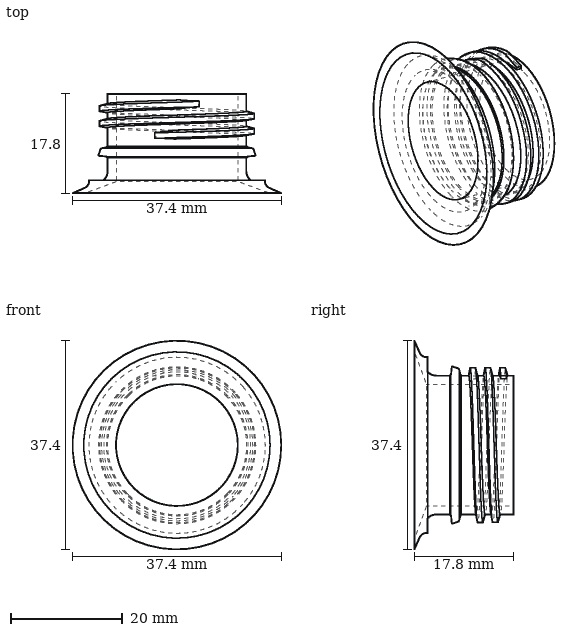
import cadquery as cq
import math


length = 17.75
neck_radius = 12.45
bore_radius = 10.87
mouth_radius = 16.65
mouth_depth = 2.13

lip_radius = 18.68
flange_back = 2.35
flange_radius = 15.75
flange_rim_land = 0.1
flare_start_y = 0.97
flare_start_radius = 16.5
root_fillet_start_y = 3.9
root_fillet_end_radius = 13.15

ring_lower_foot = (neck_radius, 6.3)
ring_lower_face_start = (12.65, 6.55)
ring_lower_face_end = (13.9, 6.65)
ring_crest_start = (14.05, 6.87)
ring_crest_end = (13.75, 7.77)
ring_upper_face_start = (13.52, 8.05)
ring_upper_face_end = (12.65, 8.22)
ring_upper_foot = (neck_radius, 8.4)

pitch = 2.7
turns = 2
thread_start_y = 15.88
crest_radius = 13.85
crest_width = 0.95
crest_shift = 0.07
foot_width = 1.68
embed = 0.2
runout_angle = 17.8
runout_tip_radius = 13.0
runout_tip_width = 1.0
runout_blend_angle = 2.0
start_angle = 90.0


def make_body():
    """Revolve the flange and neck wall, hollow from end to end."""
    rim_y = flange_back - flange_rim_land
    return (
        cq.Workplane("XY")
        .moveTo(mouth_radius, 0)
        .lineTo(lip_radius, 0)
        .lineTo(flare_start_radius, flare_start_y)
        .tangentArcPoint((flange_radius, rim_y), relative=False)
        .lineTo(flange_radius, flange_back)
        .lineTo(root_fillet_end_radius, flange_back)
        .threePointArc(root_fillet_middle(), (neck_radius, root_fillet_start_y))
        .lineTo(neck_radius, length)
        .lineTo(bore_radius, length)
        .lineTo(bore_radius, mouth_depth)
        .close()
        .revolve(360, (0, 0, 0), (0, 1, 0))
    )


def root_fillet_middle():
    """Middle point of the root arc, which runs tangent into the neck."""
    rise = root_fillet_start_y - flange_back
    spread = root_fillet_end_radius - neck_radius
    arc_radius = (rise**2 + spread**2) / (2 * spread)
    half_sweep = math.asin(rise / arc_radius) / 2
    return (
        neck_radius + arc_radius * (1 - math.cos(half_sweep)),
        root_fillet_start_y - arc_radius * math.sin(half_sweep),
    )


def make_ring():
    """Revolve the sealing ring with its sloping crest and rounded edges."""
    root_radius = neck_radius - embed
    return (
        cq.Workplane("XY")
        .moveTo(root_radius, ring_lower_foot[1])
        .lineTo(*ring_lower_foot)
        .lineTo(*ring_lower_face_start)
        .lineTo(*ring_lower_face_end)
        .tangentArcPoint(ring_crest_start, relative=False)
        .lineTo(*ring_crest_end)
        .tangentArcPoint(ring_upper_face_start, relative=False)
        .lineTo(*ring_upper_face_end)
        .lineTo(*ring_upper_foot)
        .lineTo(root_radius, ring_upper_foot[1])
        .close()
        .revolve(360, (0, 0, 0), (0, 1, 0))
    )


def thread_section(angle, outer_radius=crest_radius, top_width=crest_width, base_width=foot_width):
    """Closed trapezoid in the radial plane, placed on the helix around local Z."""
    inner_radius = neck_radius - embed
    height = pitch * (angle - start_angle) / 360 - thread_start_y
    corners = [
        (inner_radius, -base_width / 2),
        (outer_radius, crest_shift - top_width / 2),
        (outer_radius, crest_shift + top_width / 2),
        (inner_radius, base_width / 2),
    ]
    turn = math.radians(angle)
    points = [
        cq.Vector(r * math.cos(turn), r * math.sin(turn), height + offset)
        for r, offset in corners
    ]
    return cq.Wire.makePolygon(points, close=True)


def make_runout(crease_angle, direction):
    """Thread end that eases over its crease and slopes down to a low blunt tip."""
    blend = direction * runout_blend_angle
    tip_angle = crease_angle + direction * runout_angle
    blend_share = runout_blend_angle / runout_angle
    blend_radius = crest_radius - blend_share * (crest_radius - runout_tip_radius)
    sections = [
        thread_section(crease_angle - blend),
        thread_section(crease_angle + blend, blend_radius),
        thread_section(tip_angle, runout_tip_radius, runout_tip_width, runout_tip_width),
    ]
    return cq.Solid.makeLoft(sections, True)


def make_thread():
    """Helical thread and its two runouts, built along Z and laid along -Y."""
    end_angle = start_angle + turns * 360
    ridge_start = start_angle + runout_blend_angle
    ridge_height = pitch * (turns - 2 * runout_blend_angle / 360)
    start_height = pitch * runout_blend_angle / 360 - thread_start_y
    path = (
        cq.Wire.makeHelix(pitch, ridge_height, neck_radius)
        .rotate(cq.Vector(0, 0, 0), cq.Vector(0, 0, 1), ridge_start)
        .translate(cq.Vector(0, 0, start_height))
    )
    pieces = [
        cq.Solid.sweep(thread_section(ridge_start), [], path, True, True),
        make_runout(start_angle, -1),
        make_runout(end_angle, 1),
    ]
    return [piece.rotate(cq.Vector(0, 0, 0), cq.Vector(1, 0, 0), 90) for piece in pieces]


result = make_body().union(make_ring())
for thread_piece in make_thread():
    result = result.union(cq.Workplane(thread_piece))